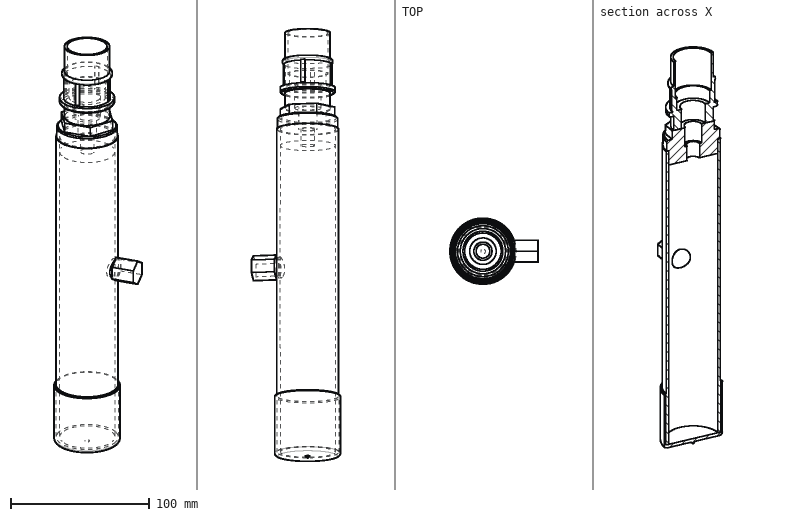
import cadquery as cq
import math

cap_top_z = 44.5
tube_top_z = 241.0
plug_shoulder_z = 249.5
hex_top_z = 256.5
collar_bottom_z = 267.5
collar_top_z = 271.5
bead_center_z = 290.6
nipple_top_z = 312.0

hexagon_sides = 6

cap_radius = 24.0
cap_floor = 3.0
cap_bottom_fillet = 2.5
cap_rim_chamfer = 0.8
tip_height = 1.68
tip_radius = 1.68

tube_radius = 22.5
tube_wall = 2.5
tube_bore_radius = tube_radius - tube_wall

plug_radius = 22.0
plug_chamfer = 1.0
plug_spigot_depth = 12.0
plug_hex_across_flats = 35.0
plug_upper_bore_radius = 6.6
plug_lower_bore_radius = 5.0

nipple_radius = 16.4
collar_radius = 20.0
collar_chamfer = 1.0
sleeve_radius = 17.0
bead_radius = 18.4
bead_section_radius = 1.8
rib_count = 4
rib_width = 3.0
rib_radius = 17.8
rib_foot = 1.0
nipple_bore_steps = [(14.5, 30.0), (13.2, 40.0), (9.6, nipple_top_z - hex_top_z)]

fitting_z = 139.8
fitting_end_x = 40.0
fitting_hex_start_x = 23.0
fitting_hex_across_flats = 16.0
fitting_spigot_radius = 7.5


def cylinder(radius, bottom_z, top_z):
    return cq.Workplane("XY").workplane(offset=bottom_z).circle(radius).extrude(top_z - bottom_z)


def corner_diameter(across_flats):
    """Diameter of the circle through a hexagon's corners."""
    return across_flats / math.cos(math.pi / hexagon_sides)


def fitting_spigot():
    """Round stem of the side fitting, from the tube bore out to the hexagon."""
    stem = cq.Workplane("YZ").center(0, fitting_z).circle(fitting_spigot_radius).extrude(fitting_hex_start_x)
    return stem.cut(cylinder(tube_bore_radius, cap_floor, tube_top_z))


def make_cap():
    body = cylinder(cap_radius, 0, cap_top_z)
    body = body.faces("<Z").edges().fillet(cap_bottom_fillet)
    body = body.faces(">Z").edges().chamfer(cap_rim_chamfer)
    body = body.cut(cylinder(tube_radius, cap_floor, cap_top_z))
    tip = cq.Solid.makeCone(0, tip_radius, tip_height, pnt=cq.Vector(0, 0, -tip_height))
    return body.union(cq.Workplane("XY").add(tip))


def make_tube():
    body = cylinder(tube_radius, cap_floor, tube_top_z)
    body = body.cut(cylinder(tube_bore_radius, cap_floor, tube_top_z))
    return body.cut(fitting_spigot())


def make_plug():
    spigot_bottom_z = tube_top_z - plug_spigot_depth
    body = cylinder(plug_radius, tube_top_z, plug_shoulder_z)
    body = body.faces(">Z").edges().chamfer(plug_chamfer)
    body = body.union(cylinder(tube_bore_radius, spigot_bottom_z, tube_top_z))
    hexagon = (
        cq.Workplane("XY")
        .workplane(offset=plug_shoulder_z)
        .polygon(hexagon_sides, corner_diameter(plug_hex_across_flats))
        .extrude(hex_top_z - plug_shoulder_z)
    )
    body = body.union(hexagon)
    body = body.cut(cylinder(plug_lower_bore_radius, spigot_bottom_z, hex_top_z))
    return body.cut(cylinder(plug_upper_bore_radius, tube_top_z, hex_top_z))


def nipple_bead():
    """Ring of round section partly sunk into the nipple wall."""
    section_center_radius = bead_radius - bead_section_radius
    ring = cq.Solid.makeTorus(section_center_radius, bead_section_radius, cq.Vector(0, 0, bead_center_z))
    return cq.Workplane("XY").add(ring)


def nipple_rib():
    """One upright rib on the +X side, from the collar to the bead, with a sloping foot."""
    profile = [
        (nipple_radius, collar_top_z),
        (sleeve_radius, collar_top_z),
        (rib_radius, collar_top_z + rib_foot),
        (rib_radius, bead_center_z),
        (nipple_radius, bead_center_z),
    ]
    return cq.Workplane("XZ").polyline(profile).close().extrude(rib_width / 2, both=True)


def make_nipple():
    body = cylinder(nipple_radius, hex_top_z, nipple_top_z)
    collar = cylinder(collar_radius, collar_bottom_z, collar_top_z)
    body = body.union(collar.faces("<Z").edges().chamfer(collar_chamfer))
    body = body.union(cylinder(sleeve_radius, collar_top_z, bead_center_z))
    body = body.union(nipple_bead())
    for index in range(rib_count):
        body = body.union(nipple_rib().rotate((0, 0, 0), (0, 0, 1), index * 360 / rib_count))
    for radius, depth in nipple_bore_steps:
        body = body.cut(cylinder(radius, nipple_top_z - depth, nipple_top_z))
    return body


def make_fitting():
    hexagon = (
        cq.Workplane("YZ")
        .workplane(offset=fitting_hex_start_x)
        .center(0, fitting_z)
        .polygon(hexagon_sides, corner_diameter(fitting_hex_across_flats))
        .extrude(fitting_end_x - fitting_hex_start_x)
        .rotate((0, 0, fitting_z), (1, 0, fitting_z), 90)
    )
    return fitting_spigot().union(hexagon)


cap = make_cap()
tube = make_tube()
plug = make_plug()
nipple = make_nipple()
fitting = make_fitting()

result = cq.Compound.makeCompound([cap.val(), tube.val(), plug.val(), nipple.val(), fitting.val()])